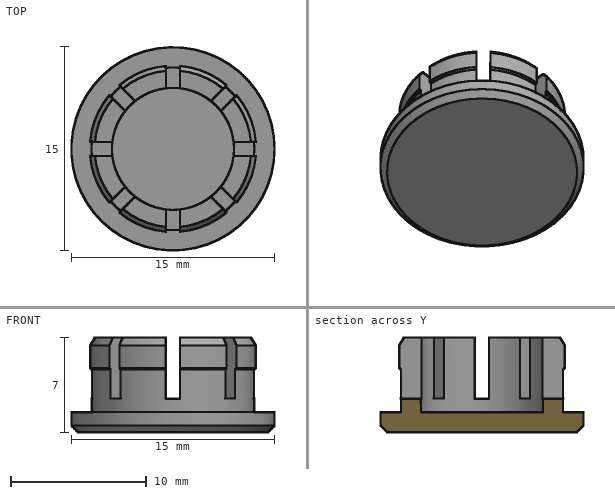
import cadquery as cq

flange_diameter = 15.0
flange_thickness = 1.5
flange_chamfer = 0.5

total_height = 7.0
sleeve_diameter = 12.0
bore_diameter = 9.0

lip_overhang = 0.14
lip_bottom = 4.62
lip_lead_in_height = 0.58
lip_lead_in_depth = 0.36

finger_count = 8
slot_width = 1.04
slot_floor = 2.49

flange_radius = flange_diameter / 2
sleeve_radius = sleeve_diameter / 2
bore_radius = bore_diameter / 2
lip_radius = sleeve_radius + lip_overhang


def make_body():
    """Revolve the half section of the flange, sleeve and lip about Z."""
    return (
        cq.Workplane("XZ")
        .lineTo(flange_radius - flange_chamfer, 0)
        .lineTo(flange_radius, flange_chamfer)
        .lineTo(flange_radius, flange_thickness)
        .lineTo(sleeve_radius, flange_thickness)
        .lineTo(sleeve_radius, lip_bottom)
        .lineTo(lip_radius, lip_bottom + lip_overhang)
        .lineTo(lip_radius, total_height - lip_lead_in_height)
        .lineTo(lip_radius - lip_lead_in_depth, total_height)
        .lineTo(bore_radius, total_height)
        .lineTo(bore_radius, flange_thickness)
        .lineTo(0, flange_thickness)
        .close()
        .revolve(360, (0, 0, 0), (0, 1, 0))
    )


def make_slot(angle):
    """Block that cuts a slot through both opposite walls of the sleeve."""
    return (
        cq.Workplane("XY", origin=(0, 0, slot_floor))
        .rect(flange_diameter, slot_width)
        .extrude(total_height - slot_floor)
        .rotate((0, 0, 0), (0, 0, 1), angle)
    )


result = make_body()
for index in range(finger_count // 2):
    result = result.cut(make_slot(index * 360 / finger_count))